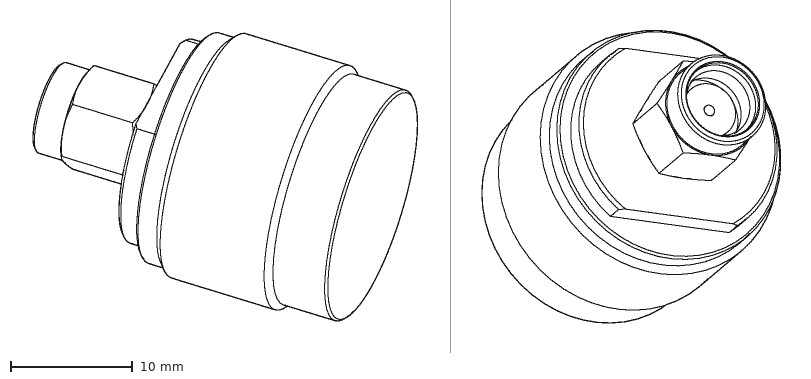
import cadquery as cq
import math


hex_start = 2.6
hex_end = 8.65
flange_start = 9.6
coupling_start = 11.7
total_length = 28.65

sleeve_radius = 3.9
sleeve_chamfer = 0.23
hex_across_flats = 8.02
hex_chamfer_angle = 30.0
neck_radius = 3.2

flange_radius = 8.77
flange_chamfer = 0.3
flange_across_flats = 14.05

coupling_radius = 9.9
coupling_chamfer = 0.2
band_diameter = 21.0
band_start = 13.55
band_end = 23.87
band_bevel_length = 0.55

mouth_radius = 3.18
mouth_chamfer = 0.1
throat_radius = 2.8
throat_start = 1.03
throat_end = 2.95
relief_end = 4.58
post_radius = 2.32
post_face = 2.95
socket_radius = 0.45
socket_depth = 1.72


def revolve_about_x(points):
    """Revolve a closed (x, radius) outline around the X axis."""
    return cq.Workplane("XY").polyline(points).close().revolve(360, (0, 0, 0), (1, 0, 0))


def cylinder(start, end, radius):
    return cq.Workplane("YZ", origin=(start, 0, 0)).circle(radius).extrude(end - start)


def make_sleeve_and_neck():
    sleeve = cylinder(0, hex_start, sleeve_radius).faces("<X").chamfer(sleeve_chamfer)
    neck = cylinder(hex_start, flange_start, neck_radius)
    return sleeve.union(neck)


def make_hex():
    """Hexagon with flats facing +Z and -Z and its corners bevelled at both ends."""
    flat_radius = hex_across_flats / 2
    corner_radius = flat_radius / math.cos(math.pi / 6)
    bevel_length = (corner_radius - flat_radius) * math.tan(math.radians(hex_chamfer_angle))
    prism = (
        cq.Workplane("YZ", origin=(hex_start, 0, 0))
        .polygon(6, 2 * corner_radius)
        .extrude(hex_end - hex_start)
    )
    bevel_envelope = revolve_about_x([
        (hex_start, 0),
        (hex_start, flat_radius),
        (hex_start + bevel_length, corner_radius),
        (hex_end - bevel_length, corner_radius),
        (hex_end, flat_radius),
        (hex_end, 0),
    ])
    return prism.intersect(bevel_envelope)


def make_flange():
    disc = cylinder(flange_start, coupling_start, flange_radius).faces("<X").chamfer(flange_chamfer)
    flats = cq.Workplane("XY").box(2 * total_length, 2 * flange_radius, flange_across_flats)
    return disc.intersect(flats)


def make_coupling():
    end_radius = coupling_radius - coupling_chamfer
    return revolve_about_x([
        (coupling_start, 0),
        (coupling_start, end_radius),
        (coupling_start + coupling_chamfer, coupling_radius),
        (band_start, coupling_radius),
        (band_start + band_bevel_length, band_diameter / 2),
        (band_end - band_bevel_length, band_diameter / 2),
        (band_end, coupling_radius),
        (total_length - coupling_chamfer, coupling_radius),
        (total_length, end_radius),
        (total_length, 0),
    ])


def make_bore():
    """Material removed inside the plug, leaving the central post with its socket."""
    cone_length = mouth_radius - throat_radius
    cavity = revolve_about_x([
        (0, 0),
        (0, mouth_radius + mouth_chamfer),
        (mouth_chamfer, mouth_radius),
        (throat_start - cone_length, mouth_radius),
        (throat_start, throat_radius),
        (throat_end, throat_radius),
        (throat_end + cone_length, mouth_radius),
        (relief_end, mouth_radius),
        (relief_end, post_radius),
        (post_face, post_radius),
        (post_face, 0),
    ])
    socket = cylinder(post_face, post_face + socket_depth, socket_radius)
    return cavity.union(socket)


result = (
    make_sleeve_and_neck()
    .union(make_hex())
    .union(make_flange())
    .union(make_coupling())
    .cut(make_bore())
)